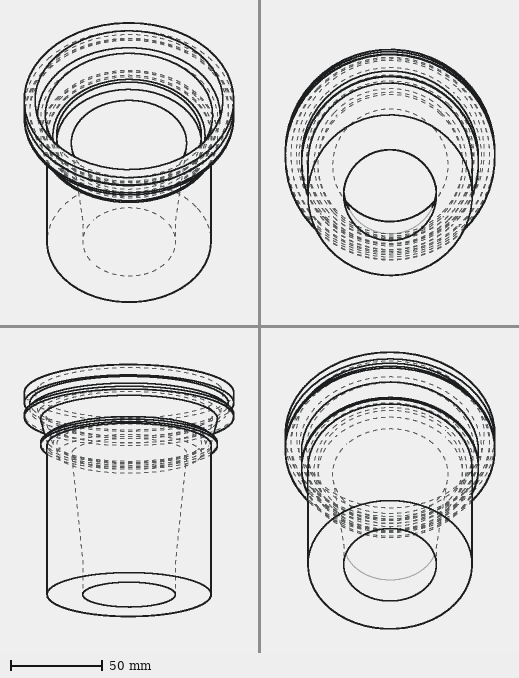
import cadquery as cq
import math

outer_radius = 57.5
total_height = 115.0

pipe_radius = 90.0 / 2
pipe_top = 86.2
pipe_recess_radius = 79.5 / 2
pipe_recess_depth = 6.0
bore_radius = 25.4
bore_mouth_radius = 31.6
bore_taper_depth = 61.5

rim_bottom = 109.0
groove_radius = 109.0 / 2
groove_bottom = 105.2
flange_edge_top = 102.6
flange_edge_bottom = 101.0
neck_top = 99.9
neck_top_radius = 48.5
neck_bottom = 88.7
neck_bottom_radius = 45.5
collar_radius = 97.1 / 2
collar_edge_top = 86.4
head_bottom = 85.0

mouth_radius = 51.5
socket_radius = 50.0
ledge_height = 102.9
seat_top_radius = 45.9
seat_bottom_radius = 41.7


def make_pipe():
    """Thick-walled pipe with a recessed top and a long taper leading into its bore."""
    recess_floor = pipe_top - pipe_recess_depth
    profile = (
        cq.Workplane("XZ")
        .moveTo(bore_radius, 0)
        .lineTo(pipe_radius, 0)
        .lineTo(pipe_radius, pipe_top)
        .lineTo(pipe_recess_radius, pipe_top)
        .lineTo(pipe_recess_radius, recess_floor)
        .lineTo(bore_mouth_radius, recess_floor)
        .lineTo(bore_radius, recess_floor - bore_taper_depth)
        .close()
    )
    return profile.revolve(360, (0, 0, 0), (0, 1, 0))


def seat_midpoint():
    """Point halfway in height on the spherical seat, whose centre is on the axis."""
    seat_height = ledge_height - pipe_top
    radii_term = seat_top_radius**2 - seat_bottom_radius**2
    centre_above_ledge = (radii_term - seat_height**2) / (2 * seat_height)
    sphere_radius = math.hypot(seat_top_radius, centre_above_ledge)
    drop = centre_above_ledge + seat_height / 2
    return math.sqrt(sphere_radius**2 - drop**2), ledge_height - seat_height / 2


def make_head():
    """Flanged head with a ball seat; its lower collar fits over the pipe end."""
    profile = (
        cq.Workplane("XZ")
        .moveTo(mouth_radius, total_height)
        .lineTo(outer_radius, total_height)
        .lineTo(outer_radius, rim_bottom)
        .lineTo(groove_radius, rim_bottom)
        .lineTo(groove_radius, groove_bottom)
        .lineTo(outer_radius, flange_edge_top)
        .lineTo(outer_radius, flange_edge_bottom)
        .lineTo(neck_top_radius, neck_top)
        .lineTo(neck_bottom_radius, neck_bottom)
        .lineTo(collar_radius, collar_edge_top)
        .lineTo(collar_radius, head_bottom)
        .lineTo(pipe_radius, head_bottom)
        .lineTo(pipe_radius, pipe_top)
        .lineTo(seat_bottom_radius, pipe_top)
        .threePointArc(seat_midpoint(), (seat_top_radius, ledge_height))
        .lineTo(socket_radius, ledge_height)
        .close()
    )
    return profile.revolve(360, (0, 0, 0), (0, 1, 0))


pipe = make_pipe()
head = make_head()

result = cq.Compound.makeCompound([pipe.val(), head.val()])